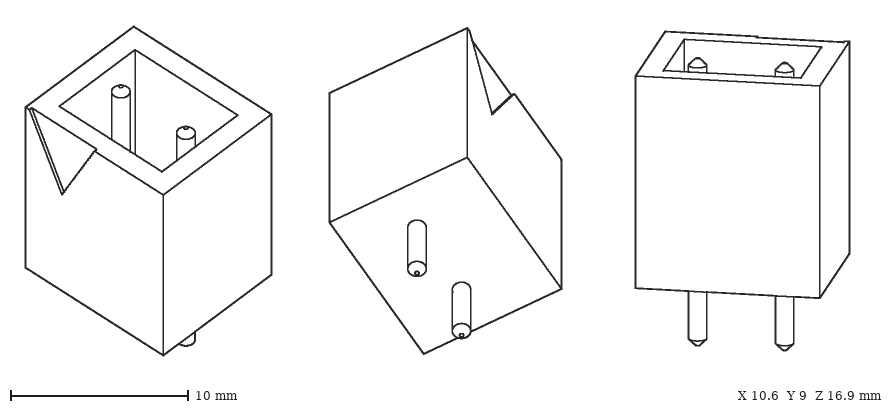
import cadquery as cq

housing_length = 10.6
housing_width = 9.0
housing_height = 12.5
wall = 1.35
floor = wall

mark_depth = 0.2

pin_diameter = 1.05
pin_pitch = 5.0
pin_offset_y = 0.4
pin_projection = 4.4
pin_chamfer = 0.4

pin_length = housing_height + pin_projection
pin_positions = [(side * pin_pitch / 2, pin_offset_y) for side in (-1, 1)]

mark_width = pin_pitch
mark_height = pin_pitch
mark_x = pin_positions[0][0]


def make_box():
    """Box with a rectangular cavity open at the top."""
    cavity_length = housing_length - 2 * wall
    cavity_width = housing_width - 2 * wall
    block = cq.Workplane("XY").rect(housing_length, housing_width).extrude(housing_height)
    cavity = (
        cq.Workplane("XY", origin=(0, 0, floor))
        .rect(cavity_length, cavity_width)
        .extrude(housing_height - floor)
    )
    return block.cut(cavity)


def make_mark():
    """Triangular prism that recesses the mark into the front face."""
    return (
        cq.Workplane("XZ", origin=(mark_x, -housing_width / 2, housing_height))
        .moveTo(-mark_width / 2, 0)
        .lineTo(mark_width / 2, 0)
        .lineTo(0, -mark_height)
        .close()
        .extrude(-mark_depth)
    )


def make_pin_holes():
    """Cylinders that pierce the floor where the pins pass through."""
    return cq.Workplane("XY").pushPoints(pin_positions).circle(pin_diameter / 2).extrude(floor)


def make_housing():
    return make_box().cut(make_mark()).cut(make_pin_holes())


def make_pin(x, y):
    """Round pin with a chamfered point at each end."""
    return (
        cq.Workplane("XY", origin=(x, y, -pin_projection))
        .circle(pin_diameter / 2)
        .extrude(pin_length)
        .faces("<Z or >Z")
        .chamfer(pin_chamfer)
    )


housing = make_housing()
pins = [make_pin(x, y) for x, y in pin_positions]

result = cq.Compound.makeCompound([housing.val(), *[pin.val() for pin in pins]])